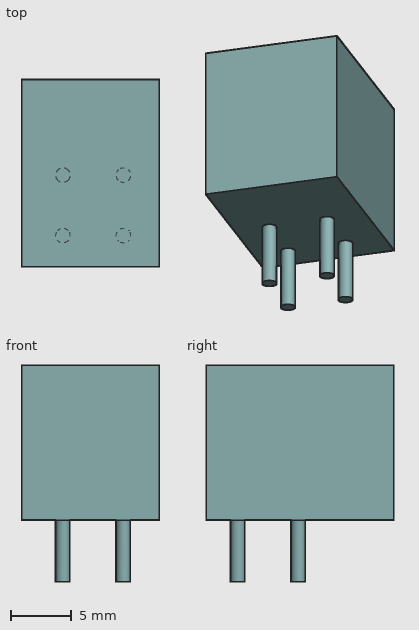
import cadquery as cq

housing_width = 11.4
housing_length = 15.5
housing_height = 12.8

pin_diameter = 1.2
pin_length = 5.1
pin_pitch = 5.0
pin_inset_x = 3.4
pin_inset_y = 2.6
pins_per_side = 2


def make_housing():
    """Plain block, centred in X and Y, with its underside at Z = 0."""
    return cq.Workplane("XY").box(
        housing_width, housing_length, housing_height, centered=(True, True, False)
    )


def make_pin(x, y):
    """Round pin hanging from the underside of the housing."""
    return cq.Workplane("XY").center(x, y).circle(pin_diameter / 2).extrude(-pin_length)


housing = make_housing()

first_pin_x = -housing_width / 2 + pin_inset_x
first_pin_y = -housing_length / 2 + pin_inset_y
pins = []
for column in range(pins_per_side):
    for row in range(pins_per_side):
        pin = make_pin(first_pin_x + column * pin_pitch, first_pin_y + row * pin_pitch)
        pins.append(pin.val())

result = cq.Compound.makeCompound([housing.val(), *pins])